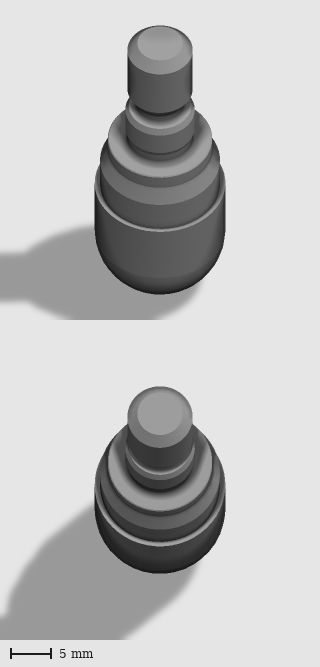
import cadquery as cq
import math

DOME_RADIUS = 16.0 / 2
DOME_TOP = 16.55
RIM_ANGLE = math.radians(15)

BODY_RADIUS = 14.7 / 2
COLLAR_RADIUS = 12.8 / 2
CONE_BOTTOM = 20.8
CONE_TOP = 22.92
COLLAR_TOP = 24.87
COLLAR_CHAMFER = 0.13

RELIEF_RADIUS = 8.1 / 2
RELIEF_FILLET = 0.5
RELIEF_FACE_RADIUS = 10.4 / 2
RELIEF_FACE_ANGLE = math.radians(8)
RELIEF_RAMP_BOTTOM = 26.25

GUIDE_RADIUS = 8.5 / 2
GUIDE_BOTTOM = 26.9
GUIDE_TOP = 30.9
GUIDE_CHAMFER_HEIGHT = 0.75
GUIDE_CHAMFER_WIDTH = 0.42

NECK_RADIUS = 6.0 / 2
NECK_FILLET = 0.65
NECK_BLEND_RADIUS = 0.5
NECK_TOP = 32.4
STUD_RADIUS = 8.0 / 2
STUD_BOTTOM = 34.02
STUD_TOP = 42.35
STUD_CHAMFER = 1.23

rim_depth = (DOME_RADIUS - BODY_RADIUS) * math.tan(RIM_ANGLE)
seat_height = DOME_TOP - rim_depth
relief_corner_radius = RELIEF_RADIUS + RELIEF_FILLET
relief_face_drop = (RELIEF_FACE_RADIUS - relief_corner_radius) * math.tan(RELIEF_FACE_ANGLE)
relief_floor = COLLAR_TOP - relief_face_drop
guide_top_radius = GUIDE_RADIUS - GUIDE_CHAMFER_WIDTH
neck_cone_angle = math.atan2(STUD_RADIUS - NECK_RADIUS, STUD_BOTTOM - NECK_TOP)
neck_blend_length = NECK_BLEND_RADIUS * math.tan(neck_cone_angle / 2)
quarter_arc_offset = 1 - math.sqrt(0.5)


def revolve_profile(profile):
    """Close an (r, z) half profile and turn it about the Z axis."""
    return profile.close().revolve(360, (0, 0, 0), (0, 1, 0))


def make_dome():
    half_arc = DOME_RADIUS * math.sqrt(0.5)
    profile = (
        cq.Workplane("XZ")
        .moveTo(0, 0)
        .threePointArc((half_arc, DOME_RADIUS - half_arc), (DOME_RADIUS, DOME_RADIUS))
        .lineTo(DOME_RADIUS, DOME_TOP)
        .lineTo(BODY_RADIUS, seat_height)
        .lineTo(0, seat_height)
    )
    return revolve_profile(profile)


def make_stud():
    relief_inset = RELIEF_FILLET * quarter_arc_offset
    neck_inset = NECK_FILLET * quarter_arc_offset
    blend_sag = NECK_BLEND_RADIUS * (1 - math.cos(neck_cone_angle / 2))
    blend_rise = NECK_BLEND_RADIUS * math.sin(neck_cone_angle / 2)
    blend_start = NECK_TOP - neck_blend_length
    blend_end = (
        NECK_RADIUS + neck_blend_length * math.sin(neck_cone_angle),
        NECK_TOP + neck_blend_length * math.cos(neck_cone_angle),
    )
    profile = (
        cq.Workplane("XZ")
        .moveTo(0, seat_height)
        .lineTo(BODY_RADIUS, seat_height)
        .lineTo(BODY_RADIUS, CONE_BOTTOM)
        .lineTo(COLLAR_RADIUS, CONE_TOP)
        .lineTo(COLLAR_RADIUS, COLLAR_TOP - COLLAR_CHAMFER)
        .lineTo(COLLAR_RADIUS - COLLAR_CHAMFER, COLLAR_TOP)
        .lineTo(RELIEF_FACE_RADIUS, COLLAR_TOP)
        .lineTo(relief_corner_radius, relief_floor)
        .threePointArc(
            (RELIEF_RADIUS + relief_inset, relief_floor + relief_inset),
            (RELIEF_RADIUS, relief_floor + RELIEF_FILLET),
        )
        .lineTo(RELIEF_RADIUS, RELIEF_RAMP_BOTTOM)
        .lineTo(GUIDE_RADIUS, GUIDE_BOTTOM)
        .lineTo(GUIDE_RADIUS, GUIDE_TOP - GUIDE_CHAMFER_HEIGHT)
        .lineTo(guide_top_radius, GUIDE_TOP)
        .lineTo(NECK_RADIUS + NECK_FILLET, GUIDE_TOP)
        .threePointArc(
            (NECK_RADIUS + neck_inset, GUIDE_TOP + neck_inset),
            (NECK_RADIUS, GUIDE_TOP + NECK_FILLET),
        )
        .lineTo(NECK_RADIUS, blend_start)
        .threePointArc((NECK_RADIUS + blend_sag, blend_start + blend_rise), blend_end)
        .lineTo(STUD_RADIUS, STUD_BOTTOM)
        .lineTo(STUD_RADIUS, STUD_TOP - STUD_CHAMFER)
        .lineTo(STUD_RADIUS - STUD_CHAMFER, STUD_TOP)
        .lineTo(0, STUD_TOP)
    )
    return revolve_profile(profile)


dome = make_dome()
stud = make_stud()
result = cq.Compound.makeCompound([dome.val(), stud.val()])